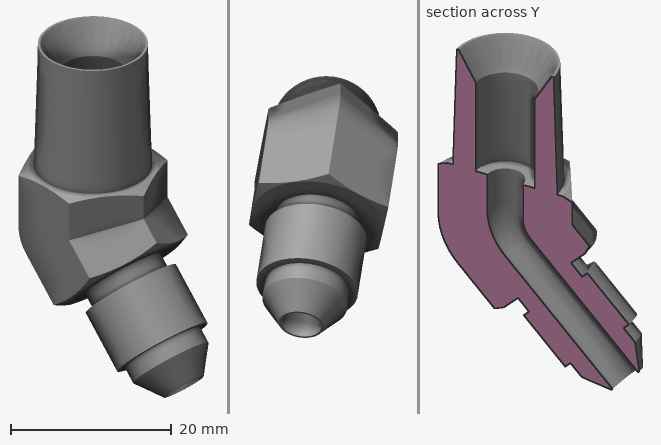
import cadquery as cq
import math

BEND_ANGLE = 45

HEX_FLATS = 16.4
HEX_CORNERS = HEX_FLATS / math.cos(math.radians(30))
PIPE_HEX_LENGTH = 7.75
TUBE_HEX_LENGTH = 7.85
HEX_FACE_RADIUS = 8.13
HEX_CORNER_DROP = 0.53

PIPE_TOP = 25.0
PIPE_BASE_RADIUS = 7.4
PIPE_TOP_RADIUS = 6.85

COLLAR_START = 10.0
COLLAR_END = 18.3
CONE_START = 20.55
NOSE_TIP = 23.95
NECK_RADIUS = 5.3
COLLAR_RADIUS = 6.35
TIP_RADIUS = 2.8

BORE_RADIUS = 2.5
BORE_BEND_START = 2.5
BORE_BEND_RADIUS = BORE_BEND_START / math.tan(math.radians(BEND_ANGLE / 2))
COUNTERBORE_RADIUS = 4.15
MOUTH_RADIUS = 6.55
MOUTH_DEPTH = 4.15


def turned(profile):
    """Revolve a closed (radius, height) outline about the Z axis."""
    return cq.Workplane("XZ").polyline(profile).close().revolve(360, (0, 0), (0, 1))


def angled(leg):
    """Swing a leg built along +Z onto the lower axis towards +X and -Z."""
    return leg.rotate((0, 0, 0), (0, 1, 0), 180 - BEND_ANGLE)


def hex_leg(length):
    """Hex prism along +Z with its outer corners chamfered."""
    corner_radius = HEX_CORNERS / 2
    prism = cq.Workplane("XY").polygon(6, HEX_CORNERS).extrude(length)
    envelope = turned([
        (0, 0),
        (corner_radius, 0),
        (corner_radius, length - HEX_CORNER_DROP),
        (HEX_FACE_RADIUS, length),
        (0, length),
    ])
    return prism.intersect(envelope)


def bend_heel():
    """Half hexagon swept about Y to round the outside of the bend."""
    half_flats = HEX_FLATS / 2
    half_hex = [
        (0, -half_flats),
        (-HEX_CORNERS / 4, -half_flats),
        (-HEX_CORNERS / 2, 0),
        (-HEX_CORNERS / 4, half_flats),
        (0, half_flats),
    ]
    section = cq.Workplane("XY").polyline(half_hex).close()
    return section.revolve(BEND_ANGLE, (0, 0), (0, -1))


def pipe_end():
    return turned([
        (0, 0),
        (PIPE_BASE_RADIUS, 0),
        (PIPE_BASE_RADIUS, PIPE_HEX_LENGTH),
        (PIPE_TOP_RADIUS, PIPE_TOP),
        (0, PIPE_TOP),
    ])


def tube_end():
    return turned([
        (0, 0),
        (NECK_RADIUS, 0),
        (NECK_RADIUS, COLLAR_START),
        (COLLAR_RADIUS, COLLAR_START),
        (COLLAR_RADIUS, COLLAR_END),
        (NECK_RADIUS, COLLAR_END),
        (NECK_RADIUS, CONE_START),
        (TIP_RADIUS, NOSE_TIP),
        (0, NOSE_TIP),
    ])


def pipe_passage():
    """Conical mouth, wide bore through the pipe end, then the narrow bore."""
    return turned([
        (0, BORE_BEND_START),
        (BORE_RADIUS, BORE_BEND_START),
        (BORE_RADIUS, PIPE_HEX_LENGTH),
        (COUNTERBORE_RADIUS, PIPE_HEX_LENGTH),
        (COUNTERBORE_RADIUS, PIPE_TOP - MOUTH_DEPTH),
        (MOUTH_RADIUS, PIPE_TOP),
        (0, PIPE_TOP),
    ])


def tube_passage():
    straight = cq.Workplane("XY").workplane(offset=BORE_BEND_START)
    return straight.circle(BORE_RADIUS).extrude(NOSE_TIP - BORE_BEND_START)


def bend_passage():
    """Curved bore tangent to both straight bores."""
    section = cq.Workplane("XY").workplane(offset=BORE_BEND_START).circle(BORE_RADIUS)
    return section.revolve(BEND_ANGLE, (BORE_BEND_RADIUS, 0), (BORE_BEND_RADIUS, -1))


body = hex_leg(PIPE_HEX_LENGTH).union(angled(hex_leg(TUBE_HEX_LENGTH))).union(bend_heel())
body = body.union(pipe_end()).union(angled(tube_end()))

result = body.cut(pipe_passage()).cut(bend_passage()).cut(angled(tube_passage()))